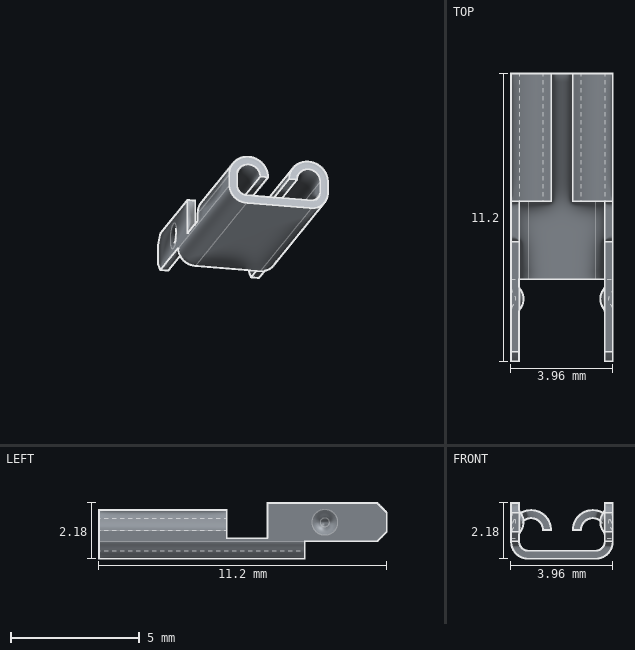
import math

import cadquery as cq


width = 3.96
length = 11.18
height = 2.18
thickness = 0.32
half_width = width / 2

bend_radius = 0.68
bend_inner_radius = bend_radius - thickness
floor_length = 8.0

curl_radius = 0.78
curl_inner_radius = curl_radius - thickness
curl_center_x = half_width - curl_radius
curl_center_z = 1.12
curl_length = 4.97

notch_floor_z = 0.81

tab_start = 6.54
tab_chamfer = 0.38
tab_bottom_z = bend_radius

dimple_radius = 0.5
dome_radius = 0.6
dimple_distance = 8.76
dimple_center_z = (tab_bottom_z + height) / 2
blend_radius = 0.2


def rear_section(side):
    """Wall of one side with its curled lip, over the length of the curls."""
    outer_x = side * half_width
    inner_x = side * (half_width - thickness)
    center_x = side * curl_center_x
    tip_outer_x = side * (curl_center_x - curl_radius)
    tip_inner_x = side * (curl_center_x - curl_inner_radius)
    return (
        cq.Workplane("XZ")
        .moveTo(outer_x, tab_bottom_z)
        .lineTo(outer_x, curl_center_z)
        .threePointArc((center_x, curl_center_z + curl_radius), (tip_outer_x, curl_center_z))
        .lineTo(tip_inner_x, curl_center_z)
        .threePointArc((center_x, curl_center_z + curl_inner_radius), (inner_x, curl_center_z))
        .lineTo(inner_x, tab_bottom_z)
        .close()
        .extrude(curl_length)
    )


def channel_floor():
    """Flat floor with a quarter-round bend up to each wall."""
    inner_half_width = half_width - thickness
    bend_x = half_width - bend_radius
    diagonal = math.sqrt(0.5)
    outer_mid_x = bend_x + bend_radius * diagonal
    outer_mid_z = bend_radius * (1 - diagonal)
    inner_mid_x = bend_x + bend_inner_radius * diagonal
    inner_mid_z = bend_radius - bend_inner_radius * diagonal
    return (
        cq.Workplane("XZ")
        .moveTo(-bend_x, 0)
        .lineTo(bend_x, 0)
        .threePointArc((outer_mid_x, outer_mid_z), (half_width, bend_radius))
        .lineTo(inner_half_width, bend_radius)
        .threePointArc((inner_mid_x, inner_mid_z), (bend_x, thickness))
        .lineTo(-bend_x, thickness)
        .threePointArc((-inner_mid_x, inner_mid_z), (-inner_half_width, bend_radius))
        .lineTo(-half_width, bend_radius)
        .threePointArc((-outer_mid_x, outer_mid_z), (-bend_x, 0))
        .close()
        .extrude(floor_length)
    )


def side_plate(side):
    """Low wall and chamfered tab of one side, pierced where the dimple goes."""
    plate_x = half_width - thickness if side > 0 else -half_width
    plate = (
        cq.Workplane("YZ", origin=(plate_x, 0, 0))
        .moveTo(-curl_length, tab_bottom_z)
        .lineTo(-length + tab_chamfer, tab_bottom_z)
        .lineTo(-length, tab_bottom_z + tab_chamfer)
        .lineTo(-length, height - tab_chamfer)
        .lineTo(-length + tab_chamfer, height)
        .lineTo(-tab_start, height)
        .lineTo(-tab_start, notch_floor_z)
        .lineTo(-curl_length, notch_floor_z)
        .close()
        .extrude(thickness)
    )
    opening = (
        cq.Workplane("YZ", origin=(plate_x, -dimple_distance, dimple_center_z))
        .circle(dimple_radius)
        .extrude(thickness)
    )
    return plate.cut(opening)


def dimple(side):
    """Pressed wall of constant thickness, revolved about an axis along X.

    Depth is measured inwards from the outer face of the tab. The dome arcs share
    one centre on the axis, the blend arcs another at the rim of the dimple.
    """
    slope = math.asin(dimple_radius / (dome_radius + blend_radius))
    blend_center_depth = thickness + blend_radius
    dome_center_depth = blend_center_depth - (dome_radius + blend_radius) * math.cos(slope)

    def blend_point(radius, angle):
        depth = blend_center_depth - radius * math.cos(angle)
        return side * (half_width - depth), dimple_radius - radius * math.sin(angle)

    def dome_point(radius, angle):
        depth = dome_center_depth + radius * math.cos(angle)
        return side * (half_width - depth), radius * math.sin(angle)

    outer_blend_radius = blend_radius + thickness
    recess_radius = dome_radius - thickness
    profile = (
        cq.Workplane("XY", origin=(0, -dimple_distance, dimple_center_z))
        .moveTo(*blend_point(outer_blend_radius, 0))
        .threePointArc(blend_point(outer_blend_radius, slope / 2), blend_point(outer_blend_radius, slope))
        .threePointArc(dome_point(recess_radius, slope / 2), dome_point(recess_radius, 0))
        .lineTo(*dome_point(dome_radius, 0))
        .threePointArc(dome_point(dome_radius, slope / 2), dome_point(dome_radius, slope))
        .threePointArc(blend_point(blend_radius, slope / 2), blend_point(blend_radius, 0))
        .close()
    )
    return profile.revolve(360, (0, 0, 0), (1, 0, 0))


result = channel_floor()
for side in (-1, 1):
    result = result.union(rear_section(side))
    result = result.union(side_plate(side))
    result = result.union(dimple(side))